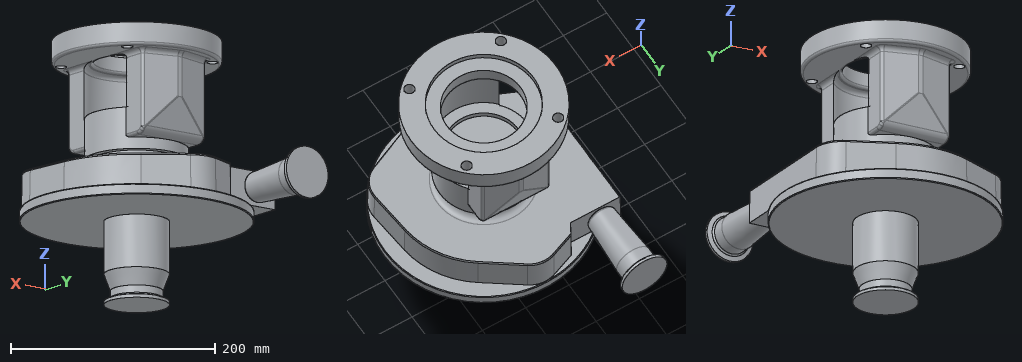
import cadquery as cq
import math


plate_diameter = 230.0
plate_radius = plate_diameter / 2
plate_thickness = 10.5
plate_edge_chamfer = 0.9

casing_height = 35.3
casing_top = plate_thickness + casing_height
casing_radius = 98.0
casing_left = -103.0
casing_corner_radius = 30.0
casing_draft_angle = 1.0
casing_chamfer_height = 1.7
casing_chamfer_width = 0.9
outlet_face_y = 88.4
step_inner = (-44.7, outlet_face_y)
step_outer = (-37.5, 101.2)
shoulder_rise_angle = 21.6
shoulder_fall_angle = 35.4
right_wall_angle = 5.5
lower_wall_angle = 24.2

neck_radius = 44.2
neck_fillet = 9.0
hub_radius = 51.0
hub_bottom = 61.5
hub_top = 103.5
hub_recess_radius = 39.5
hub_recess_depth = 5.7

flange_radius = 83.5
flange_thickness = 23.0
flange_top = 181.3
flange_bottom = flange_top - flange_thickness
flange_edge_fillet = 2.8
flange_bore_radius = 42.5
flange_recess_radius = 57.3
flange_recess_depth = 6.0
bolt_circle_radius = 74.7
bolt_hole_radius = 5.5
bolt_count = 4

leg_half_width = 39.0
leg_reach = 69.0
leg_ridge_half_width = 2.5
leg_slope = math.tan(math.radians(15))
leg_bottom = 73.0
leg_slope_start = 113.0
leg_inner_radius = 52.0
leg_edge_fillet = 3.0
leg_toe_fillet = 10.0
leg_root_fillet = 5.0

ferrule_rim_thickness = 3.5
ferrule_cone_length = 1.5
ferrule_cone_step = 1.7
ferrule_length = 6.5

suction_length = 83.8
suction_radius = 32.2
suction_taper_start = 53.0
suction_taper_end = 69.8
suction_end_radius = 26.0
suction_rim_radius = 32.2

overall_length = 285
discharge_x = -79.2
discharge_z = 29.4
discharge_end_y = overall_length - plate_radius
discharge_root_radius = 15.5
discharge_radius = 19.5
discharge_rim_radius = 26.0
discharge_straight_length = 20.8
discharge_root_fillet = 3.0


def disc(radius, bottom, top):
    return cq.Workplane("XY").workplane(offset=bottom).circle(radius).extrude(top - bottom)


def on_circle(radius, angle):
    """Point at an angle in degrees, counter-clockwise from +X."""
    return (radius * math.cos(math.radians(angle)), radius * math.sin(math.radians(angle)))


def meet(point_a, angle_a, point_b, angle_b):
    """Crossing of two lines, each given by a point and a direction in degrees."""
    ax, ay = on_circle(1, angle_a)
    bx, by = on_circle(1, angle_b)
    dx, dy = point_b[0] - point_a[0], point_b[1] - point_a[1]
    distance = (dx * by - dy * bx) / (ax * by - ay * bx)
    return (point_a[0] + distance * ax, point_a[1] + distance * ay)


def make_plate():
    plate = disc(plate_radius, 0, plate_thickness)
    return plate.edges().chamfer(plate_edge_chamfer)


def make_casing():
    shoulder_end = on_circle(casing_radius, 90 - shoulder_fall_angle)
    right_start = on_circle(casing_radius, right_wall_angle)
    lower_right = on_circle(casing_radius, lower_wall_angle - 90)
    lower_left = on_circle(casing_radius, -lower_wall_angle - 90)

    peak = meet(step_outer, shoulder_rise_angle, shoulder_end, -shoulder_fall_angle)
    right_corner = meet(right_start, right_wall_angle - 90, lower_right, lower_wall_angle)
    left_corner = meet(lower_left, -lower_wall_angle, (casing_left, 0), 90)

    arc_middle = on_circle(casing_radius, (90 - shoulder_fall_angle + right_wall_angle) / 2)
    casing = (
        cq.Workplane("XY")
        .workplane(offset=plate_thickness)
        .moveTo(casing_left, step_outer[1])
        .lineTo(*step_outer)
        .lineTo(*peak)
        .lineTo(*shoulder_end)
        .threePointArc(arc_middle, right_start)
        .lineTo(*right_corner)
        .lineTo(*lower_right)
        .threePointArc((0, -casing_radius), lower_left)
        .lineTo(*left_corner)
        .close()
        .extrude(casing_height, taper=casing_draft_angle)
    )
    middle = plate_thickness + casing_height / 2
    for corner in (peak, right_corner, left_corner):
        nearest = cq.selectors.NearestToPointSelector((*corner, middle))
        casing = casing.edges(nearest).fillet(casing_corner_radius)
    casing = casing.faces(">Z").edges().chamfer(casing_chamfer_height, casing_chamfer_width)
    return casing.cut(make_outlet_notch())


def make_outlet_notch():
    """Block that leaves a plain upright outlet face and step beside the discharge pipe."""
    step_run = step_outer[0] - step_inner[0]
    step_rise = step_outer[1] - step_inner[1]
    return (
        cq.Workplane("XY")
        .workplane(offset=plate_thickness)
        .moveTo(-plate_radius, outlet_face_y)
        .lineTo(*step_inner)
        .lineTo(step_outer[0] + step_run, step_outer[1] + step_rise)
        .lineTo(-plate_radius, step_outer[1] + step_rise)
        .close()
        .extrude(casing_height)
    )


def make_hub():
    fillet_foot = neck_radius + neck_fillet
    fillet_top = casing_top + neck_fillet
    fillet_middle = (
        fillet_foot - neck_fillet * math.sin(math.radians(45)),
        fillet_top - neck_fillet * math.cos(math.radians(45)),
    )
    recess_floor = hub_top - hub_recess_depth
    profile = (
        cq.Workplane("XZ")
        .moveTo(0, plate_thickness)
        .lineTo(fillet_foot, plate_thickness)
        .lineTo(fillet_foot, casing_top)
        .threePointArc(fillet_middle, (neck_radius, fillet_top))
        .lineTo(neck_radius, hub_bottom)
        .lineTo(hub_radius, hub_bottom)
        .lineTo(hub_radius, hub_top)
        .lineTo(hub_recess_radius, hub_top)
        .lineTo(hub_recess_radius, recess_floor)
        .lineTo(0, recess_floor)
        .close()
    )
    return profile.revolve(360, (0, 0, 0), (0, 1, 0))


def make_leg():
    """Leg on the -Y side with a ridged outer face and a sloping toe."""
    side_reach = leg_reach - (leg_half_width - leg_ridge_half_width) * leg_slope
    plan = [
        (-leg_half_width, 0),
        (-leg_half_width, -side_reach),
        (-leg_ridge_half_width, -leg_reach),
        (leg_ridge_half_width, -leg_reach),
        (leg_half_width, -side_reach),
        (leg_half_width, 0),
    ]
    leg = (
        cq.Workplane("XY")
        .workplane(offset=leg_bottom)
        .polyline(plan)
        .close()
        .extrude(flange_bottom - leg_bottom)
    )
    toe_reach = leg_reach - (leg_slope_start - leg_bottom) * leg_slope
    toe_profile = [
        (0, leg_bottom),
        (-toe_reach, leg_bottom),
        (-leg_reach, leg_slope_start),
        (-leg_reach, flange_bottom),
        (0, flange_bottom),
    ]
    toe = cq.Workplane("YZ").polyline(toe_profile).close().extrude(leg_half_width, both=True)
    leg = leg.intersect(toe)

    middle = (flange_bottom + leg_bottom) / 2
    for side in (-1, 1):
        corner = (side * leg_half_width, -side_reach, middle)
        leg = leg.edges(cq.selectors.NearestToPointSelector(corner)).fillet(leg_edge_fillet)
    toe_edge = cq.selectors.NearestToPointSelector((0, -toe_reach, leg_bottom))
    leg = leg.edges(toe_edge).fillet(leg_toe_fillet)
    for side in (-1, 1):
        foot = (side * leg_half_width, -side_reach / 2, leg_bottom)
        leg = leg.edges(cq.selectors.NearestToPointSelector(foot)).fillet(leg_edge_fillet)
    return leg


def make_legs():
    leg = make_leg()
    legs = leg.union(leg.mirror("XZ"))
    legs = legs.cut(disc(leg_inner_radius, hub_top, flange_bottom))
    return legs.cut(disc(hub_recess_radius, leg_bottom, hub_top))


def make_flange():
    flange = disc(flange_radius, flange_bottom, flange_top)
    flange = flange.cut(disc(flange_bore_radius, flange_bottom, flange_top))
    return flange.faces("<Z").edges().fillet(flange_edge_fillet)


def cut_flange(body):
    body = body.cut(disc(flange_recess_radius, flange_top - flange_recess_depth, flange_top))
    for index in range(bolt_count):
        place = on_circle(bolt_circle_radius, 45 + index * 360 / bolt_count)
        hole = disc(bolt_hole_radius, flange_bottom, flange_top).translate((*place, 0))
        body = body.cut(hole)
    return body


def pipe(stations):
    """Solid of revolution about Z through (radius, height) stations."""
    points = [(0, stations[0][1]), *stations, (0, stations[-1][1])]
    return cq.Workplane("XZ").polyline(points).close().revolve(360, (0, 0, 0), (0, 1, 0))


def ferrule(pipe_radius, rim_radius, end):
    """Stations of a clamp ferrule, from its neck to its flat end."""
    shoulder = end - ferrule_rim_thickness
    return [
        (pipe_radius, end - ferrule_length),
        (pipe_radius + ferrule_cone_step, shoulder - ferrule_cone_length),
        (rim_radius, shoulder),
        (rim_radius, end),
    ]


def make_suction_pipe():
    stations = [
        (suction_radius, 0),
        (suction_radius, suction_taper_start),
        (suction_end_radius, suction_taper_end),
        *ferrule(suction_end_radius, suction_rim_radius, suction_length),
    ]
    return pipe(stations).rotate((0, 0, 0), (1, 0, 0), 180)


def make_discharge_pipe():
    length = discharge_end_y - outlet_face_y
    stations = [
        (discharge_root_radius, 0),
        (discharge_radius, length - discharge_straight_length),
        *ferrule(discharge_radius, discharge_rim_radius, length),
    ]
    body = pipe(stations).faces("<Z").edges().fillet(discharge_root_fillet)
    body = body.rotate((0, 0, 0), (1, 0, 0), -90)
    return body.translate((discharge_x, outlet_face_y, discharge_z))


def at_leg_root(edge):
    """True for edges where the legs meet the underside of the flange."""
    tolerance = 0.03
    box = edge.BoundingBox()
    low_end_flush = abs(box.zmin - flange_bottom) < tolerance
    high_end_flush = abs(box.zmax - flange_bottom) < tolerance
    within_leg = box.xmax - box.xmin < 2 * leg_half_width + tolerance
    return low_end_flush and high_end_flush and within_leg


flanged_legs = make_flange().union(make_legs())
root_edges = [edge for edge in flanged_legs.edges().vals() if at_leg_root(edge)]
flanged_legs = flanged_legs.newObject(root_edges).fillet(leg_root_fillet)

result = (
    make_plate()
    .union(make_casing())
    .union(make_hub())
    .union(cut_flange(flanged_legs))
    .union(make_suction_pipe())
    .union(make_discharge_pipe())
)